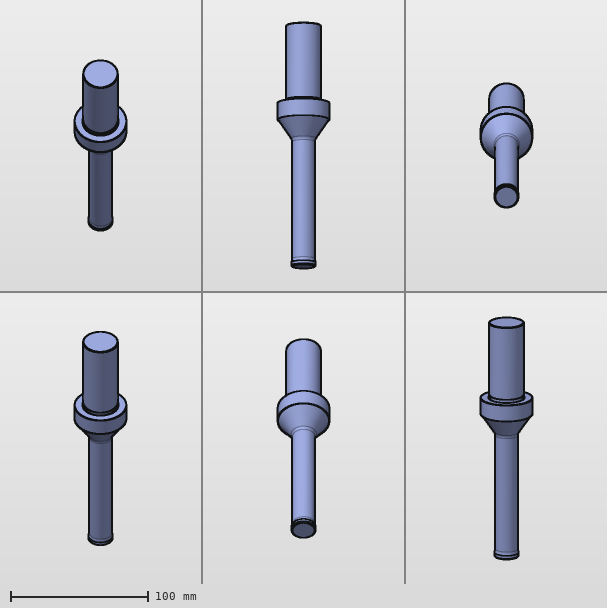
import cadquery as cq
import math

total_length = 178.5
tip_height = 3.2
flare_top = 6.0
cone_bottom = 94.1
collar_bottom = 108.7
collar_top = 121.2
shank_bottom = 123.2

stem_diameter = 17.0
tip_diameter = 17.9
cone_top_diameter = 37.0
collar_diameter = 38.0
shank_diameter = 25.5
neck_diameter = 24.1
relief_diameter = 26.6

stem_fillet = 4.5
tip_chamfer = 0.9
shank_top_chamfer = 0.5
shank_bottom_chamfer = 0.4
collar_chamfer = 0.4
relief_depth = 0.5


def make_holder():
    """Stem, cone, collar and shank, turned as one piece."""
    stem_radius = stem_diameter / 2
    cone_top_radius = cone_top_diameter / 2
    collar_radius = collar_diameter / 2
    shank_radius = shank_diameter / 2
    neck_radius = neck_diameter / 2
    relief_radius = relief_diameter / 2

    cone_angle = math.atan2(cone_top_radius - stem_radius, collar_bottom - cone_bottom)
    tangent_length = stem_fillet * math.tan(cone_angle / 2)
    fillet_start = cone_bottom - tangent_length
    fillet_middle = (
        stem_radius + stem_fillet * (1 - math.cos(cone_angle / 2)),
        fillet_start + stem_fillet * math.sin(cone_angle / 2),
    )
    fillet_end = (
        stem_radius + tangent_length * math.sin(cone_angle),
        cone_bottom + tangent_length * math.cos(cone_angle),
    )

    flare_height = flare_top - tip_height
    flare_width = tip_diameter / 2 - stem_radius
    flare_radius = (flare_height**2 + flare_width**2) / (2 * flare_width)
    flare_middle_angle = math.asin(flare_height / flare_radius) / 2
    flare_middle = (
        stem_radius + flare_radius * (1 - math.cos(flare_middle_angle)),
        flare_top - flare_radius * math.sin(flare_middle_angle),
    )

    return (
        cq.Workplane("XZ")
        .moveTo(0, tip_height)
        .lineTo(tip_diameter / 2, tip_height)
        .threePointArc(flare_middle, (stem_radius, flare_top))
        .lineTo(stem_radius, fillet_start)
        .threePointArc(fillet_middle, fillet_end)
        .lineTo(cone_top_radius, collar_bottom)
        .lineTo(collar_radius, collar_bottom)
        .lineTo(collar_radius, collar_top - collar_chamfer)
        .lineTo(collar_radius - collar_chamfer, collar_top)
        .lineTo(relief_radius, collar_top)
        .lineTo(neck_radius, collar_top - relief_depth)
        .lineTo(neck_radius, shank_bottom)
        .lineTo(shank_radius - shank_bottom_chamfer, shank_bottom)
        .lineTo(shank_radius, shank_bottom + shank_bottom_chamfer)
        .lineTo(shank_radius, total_length - shank_top_chamfer)
        .lineTo(shank_radius - shank_top_chamfer, total_length)
        .lineTo(0, total_length)
        .close()
        .revolve(360, (0, 0), (0, 1))
    )


def make_tip():
    """Disc on the flared end of the stem, with a chamfered end face."""
    tip_radius = tip_diameter / 2
    return (
        cq.Workplane("XZ")
        .lineTo(tip_radius - tip_chamfer, 0)
        .lineTo(tip_radius, tip_chamfer)
        .lineTo(tip_radius, tip_height)
        .lineTo(0, tip_height)
        .close()
        .revolve(360, (0, 0), (0, 1))
    )


holder = make_holder()
tip = make_tip()
result = cq.Compound.makeCompound([holder.val(), tip.val()])